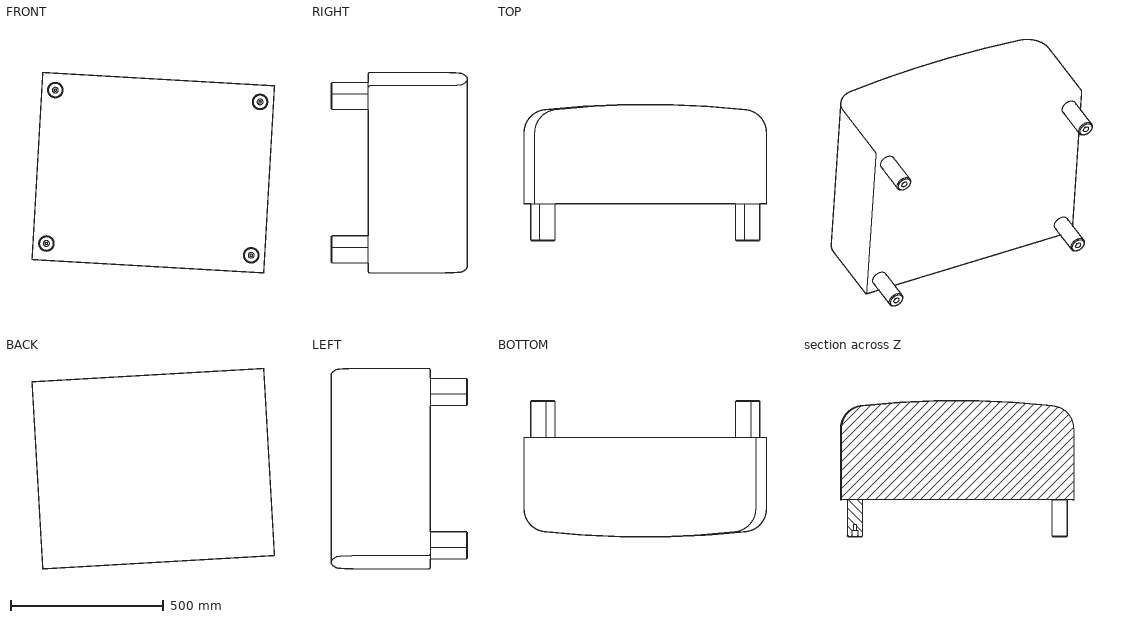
import cadquery as cq

housing_width = 762.0
housing_height = 615.5
housing_depth = 326.5
crown_radius = 2867.0
corner_radius = 76.5
front_edge_radius = 7.0
tilt_angle = 3.3

leg_diameter = 51.0
leg_length = 121.0
leg_edge_chamfer = 3.0
leg_spacing_x = 673.0
leg_spacing_z = 504.0

counterbore_diameter = 19.0
counterbore_depth = 20.0
pilot_diameter = 8.0
pilot_depth = 40.0


def tilt(body):
    """Turn a body about the Y axis into its leaning position."""
    return body.rotate((0, 0, 0), (0, 1, 0), tilt_angle)


def make_housing():
    half_width = housing_width / 2
    crown_rise = crown_radius - (crown_radius**2 - half_width**2) ** 0.5
    side_depth = housing_depth - crown_rise
    body = (
        cq.Workplane("XY")
        .moveTo(-half_width, 0)
        .lineTo(half_width, 0)
        .lineTo(half_width, side_depth)
        .threePointArc((0, housing_depth), (-half_width, side_depth))
        .close()
        .extrude(housing_height / 2, both=True)
    )
    body = body.edges("|Z").edges(">Y").fillet(corner_radius)
    body = body.faces("<Y").edges("|X").fillet(front_edge_radius)
    return tilt(body)


def make_leg(x, z):
    leg = cq.Workplane("XZ").circle(leg_diameter / 2).extrude(leg_length)
    leg = leg.faces("<Y").chamfer(leg_edge_chamfer)
    leg = leg.faces("<Y").workplane().cboreHole(
        pilot_diameter, counterbore_diameter, counterbore_depth, depth=pilot_depth
    )
    return tilt(leg.translate((x, 0, z)))


housing = make_housing()
legs = [
    make_leg(side_x * leg_spacing_x / 2, side_z * leg_spacing_z / 2)
    for side_x in (-1, 1)
    for side_z in (-1, 1)
]

result = cq.Compound.makeCompound([housing.val(), *[leg.val() for leg in legs]])